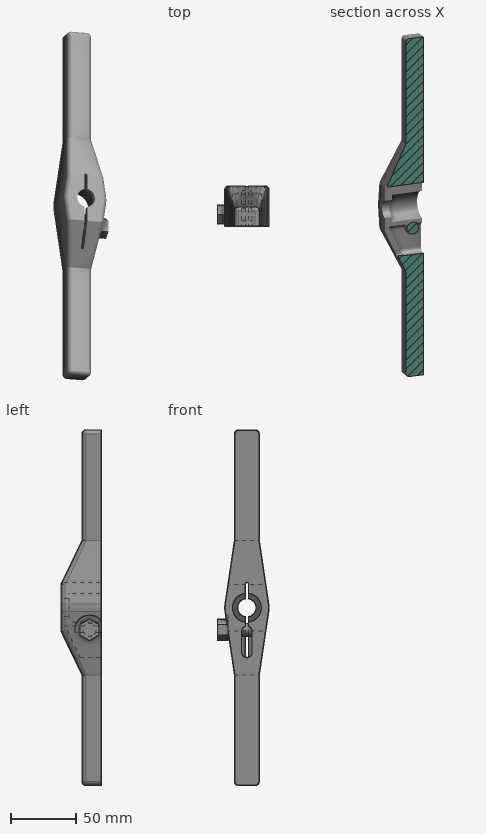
import cadquery as cq
import math


total_length = 272.8
arm_width = 19.1
arm_depth = 15.0
hub_depth = 31.11
hub_half_length = 51.5
hub_flat_half = 18.0
hub_apex_half_width = 17.25
hub_blend_radius = 20.0
edge_radius = 3.2
front_chamfer = 0.35

bore_diameter = 14.0
counterbore_diameter = 22.2
counterbore_depth = 25.0

slit_width = 2.4
slit_top_z = 19.4
pocket_width = 8.0
pocket_top_z = -14.0
pocket_bottom_z = -38.2
pocket_back_wall = 5.0

bolt_y = 9.2
bolt_z = -16.9
bolt_diameter = 10.0
bolt_end_x = 10.0
head_sides = 6
head_flats = 14.3
head_end_x = -22.57
seat_x = -14.4
seat_diameter = 22.4

half_length = total_length / 2
size_tolerance = 0.01
arm_half_width = arm_width / 2
back_slope = (hub_depth - arm_depth) / (hub_half_length - hub_flat_half)


def hub_back_y(z):
    """Y of the sloping back face of the hub at height z."""
    return hub_depth - back_slope * (abs(z) - hub_flat_half)


def round_back_rim(body, inner_z, outer_z):
    """Round the edges around the back whose middle lies between two distances from z = 0."""
    rim = []
    for edge in body.edges().vals():
        middle = edge.Center()
        on_back = min(edge.startPoint().y, edge.endPoint().y) > arm_depth - size_tolerance
        in_range = inner_z + size_tolerance < abs(middle.z) < outer_z + size_tolerance
        crosses_middle = abs(middle.x) < size_tolerance and abs(middle.z) < half_length - edge_radius
        long_enough = edge.Length() > edge_radius
        if on_back and in_range and long_enough and not crosses_middle:
            rim.append(edge)
    return body.newObject(rim).fillet(edge_radius)


def make_body():
    """Front outline crossed with the side profile, back rim rounded and front rim broken."""
    outline = (
        cq.Workplane("XZ")
        .moveTo(-arm_half_width, -half_length)
        .lineTo(arm_half_width, -half_length)
        .lineTo(arm_half_width, -hub_half_length)
        .lineTo(hub_apex_half_width, 0)
        .lineTo(arm_half_width, hub_half_length)
        .lineTo(arm_half_width, half_length)
        .lineTo(-arm_half_width, half_length)
        .lineTo(-arm_half_width, hub_half_length)
        .lineTo(-hub_apex_half_width, 0)
        .lineTo(-arm_half_width, -hub_half_length)
        .close()
        .extrude(-hub_depth)
    )
    apex_edges = cq.selectors.BoxSelector(
        (-arm_width, 0, -edge_radius), (arm_width, hub_depth, edge_radius)
    )
    outline = outline.edges(apex_edges).fillet(hub_blend_radius)
    outline = outline.faces("<Z or >Z").edges("|Y").fillet(edge_radius)

    profile = (
        cq.Workplane("YZ")
        .moveTo(0, -half_length)
        .lineTo(arm_depth, -half_length)
        .lineTo(arm_depth, -hub_half_length)
        .lineTo(hub_depth, -hub_flat_half)
        .lineTo(hub_depth, hub_flat_half)
        .lineTo(arm_depth, hub_half_length)
        .lineTo(arm_depth, half_length)
        .lineTo(0, half_length)
        .close()
        .extrude(2 * hub_apex_half_width, both=True)
    )
    body = outline.intersect(profile)
    body = round_back_rim(body, 0, hub_half_length)
    body = round_back_rim(body, hub_half_length, half_length)
    return body.faces("<Y").edges().chamfer(front_chamfer)


def front_slot(width, top_z, bottom_z):
    """Round-ended vertical slot, cut from the front face right through the hub."""
    return (
        cq.Workplane("XZ")
        .center(0, (top_z + bottom_z) / 2)
        .slot2D(top_z - bottom_z, width, 90)
        .extrude(-hub_depth)
    )


def make_bore():
    through = cq.Workplane("XZ").circle(bore_diameter / 2).extrude(-hub_depth)
    counterbore = cq.Workplane("XZ").circle(counterbore_diameter / 2).extrude(-counterbore_depth)
    return through.union(counterbore)


def make_pocket():
    """Front pocket whose floor runs parallel to the sloping back of the hub."""
    top_floor_y = hub_back_y(pocket_top_z) - pocket_back_wall
    bottom_floor_y = hub_back_y(pocket_bottom_z) - pocket_back_wall
    wedge = (
        cq.Workplane("YZ")
        .moveTo(0, pocket_bottom_z)
        .lineTo(bottom_floor_y, pocket_bottom_z)
        .lineTo(top_floor_y, pocket_top_z)
        .lineTo(0, pocket_top_z)
        .close()
        .extrude(pocket_width, both=True)
    )
    return front_slot(pocket_width, pocket_top_z, pocket_bottom_z).intersect(wedge)


def bolt_plane(x):
    """YZ sketch plane at x, centred on the bolt axis."""
    return cq.Workplane("YZ", origin=(x, bolt_y, bolt_z))


def make_seat():
    """Spot face for the bolt head, running out of the sloping flank."""
    return bolt_plane(seat_x).circle(seat_diameter / 2).extrude(head_end_x - seat_x)


def make_bolt():
    """Hexagon head with two corners pointing along Z, plus the shank."""
    head_corners = head_flats / math.cos(math.pi / head_sides)
    head = (
        bolt_plane(seat_x)
        .transformed(rotate=(0, 0, 90))
        .polygon(head_sides, head_corners)
        .extrude(head_end_x - seat_x)
    )
    shank = bolt_plane(seat_x).circle(bolt_diameter / 2).extrude(bolt_end_x - seat_x)
    return head.union(shank)


body = make_body()
body = body.cut(make_bore())
body = body.cut(front_slot(slit_width, slit_top_z, pocket_bottom_z))
body = body.cut(make_pocket())
body = body.cut(make_seat())
result = body.union(make_bolt())